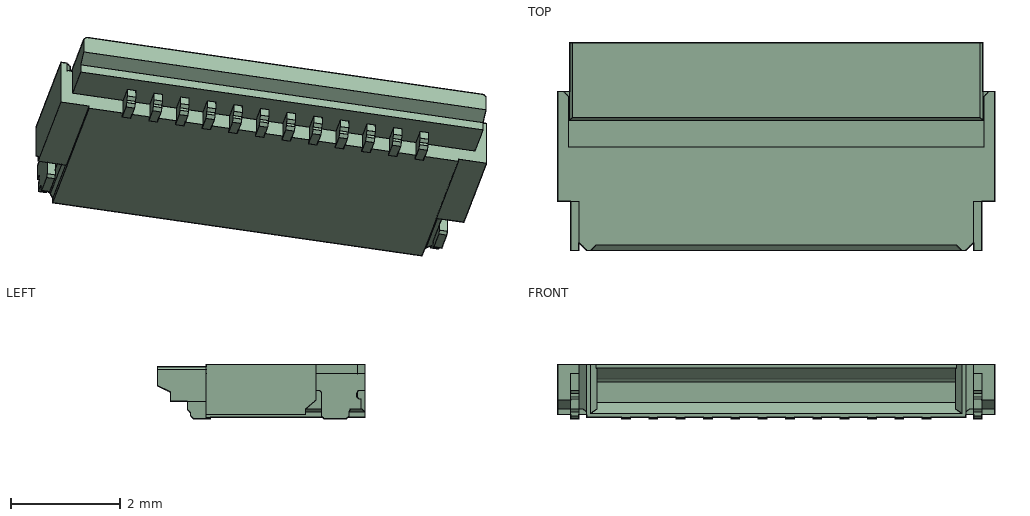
import cadquery as cq


body_width = 8.0
body_front = 0.9
body_rear = 2.91
body_bottom = 0.08
top = 1.0
bevel_run = 0.19
bevel_low = 0.18
bevel_high = 0.345

shell_width = 7.22
keel_width = 6.94
shell_corner = (shell_width - keel_width) / 2
shell_bottom = 0.03
keel_side_top = 0.13
shell_side_bottom = 0.18
side_ledge = 0.08

recess_width = 7.6
recess_front = 1.89
recess_floor = 0.83
arm_chamfer = 0.09

slot_width = 6.55
slot_corner = 0.12
slot_rim_bottom = 0.10
slot_floor = 0.30
slot_depth = recess_front
floor_ramp_length = 0.28
lip_setback = 0.10
lip_bottom = 0.93
slot_roof_front = 0.73
slot_roof_rear = 0.68
roof_ramp_end = 0.28
roof_bevel_run = 0.03

flap_width = 7.56
flap_front = 2.38
flap_rear = 3.8
flap_top = 0.955
flap_chamfer = 0.05
flap_heel = 3.56
flap_heel_high = 0.49
flap_rear_low = 0.607
flap_bottom = 0.323

lead_count = 12
lead_pitch = 0.5
lead_width = 0.16
lead_rear = 3.25
lead_front = 2.83
lead_step = 0.055
lead_knee = 0.17
lead_toe = 0.06

tab_thickness = 0.15
tab_top = 0.83
tab_shoulder = 0.52
tab_leg_rear = 0.80
tab_corner = 0.03
tab_foot_chamfer = 0.05
tab_neck = 0.154
tab_neck_low = 0.405
tab_neck_bevel_run = 0.03
tab_neck_bevel_rise = 0.05
tab_prong_top = 0.365
tab_prong_front = 0.08
tab_prong_rear = 0.11
tab_foot_front = 0.295
tab_foot_top = 0.18


def side_profile(points, width, x_centre=0):
    """Extrude a (Y, Z) outline along X, centred on x_centre."""
    return (
        cq.Workplane("YZ")
        .polyline(points)
        .close()
        .extrude(width / 2, both=True)
        .translate((x_centre, 0, 0))
    )


def plan_profile(points, z_low, z_high):
    """Extrude an (X, Y) outline from z_low to z_high."""
    return cq.Workplane("XY").workplane(offset=z_low).polyline(points).close().extrude(z_high - z_low)


def make_body():
    """Wide block between the side faces, bevelled below its front edge."""
    bevel_end = body_front + bevel_run
    outline = [
        (body_front, top),
        (body_rear, top),
        (body_rear, body_bottom),
        (bevel_end, body_bottom),
        (bevel_end, bevel_low),
        (body_front, bevel_high),
    ]
    return side_profile(outline, body_width)


def make_shell():
    """Front shell: stepped cross-section with its two front corners cut off."""
    half_side = shell_width / 2
    half_keel = keel_width / 2
    half_ledge = half_side - side_ledge
    right_half = [
        (half_keel, shell_bottom),
        (half_keel, keel_side_top),
        (half_ledge, shell_side_bottom),
        (half_side, shell_side_bottom),
        (half_side, top),
    ]
    left_half = [(-x, z) for x, z in reversed(right_half)]
    section = cq.Workplane("XZ").polyline(right_half + left_half).close().extrude(-body_rear)
    plan = [
        (-half_keel, 0),
        (half_keel, 0),
        (half_side, shell_corner),
        (half_side, body_rear),
        (-half_side, body_rear),
        (-half_side, shell_corner),
    ]
    return section.intersect(plan_profile(plan, 0, top))


def make_slot():
    """Cable opening: (Y, Z) outline limited by the plan with its side lead-ins."""
    half_slot = slot_width / 2
    half_mouth = half_slot + slot_corner
    outline = [
        (0, slot_rim_bottom),
        (floor_ramp_length, slot_floor),
        (slot_depth, slot_floor),
        (slot_depth, slot_roof_rear),
        (roof_ramp_end + roof_bevel_run, slot_roof_rear),
        (roof_ramp_end, slot_roof_front),
        (lip_setback, lip_bottom),
        (lip_setback, top),
        (0, top),
    ]
    plan = [
        (-half_mouth, 0),
        (half_mouth, 0),
        (half_slot, slot_corner),
        (half_slot, slot_depth),
        (-half_slot, slot_depth),
        (-half_slot, slot_corner),
    ]
    return side_profile(outline, body_width).intersect(plan_profile(plan, 0, top))


def make_recess():
    """Shallow top pocket behind the slot, open to the rear between two arms."""
    half_recess = recess_width / 2
    half_mouth = half_recess + arm_chamfer
    chamfer_start = body_rear - arm_chamfer
    plan = [
        (-half_recess, recess_front),
        (half_recess, recess_front),
        (half_recess, chamfer_start),
        (half_mouth, body_rear),
        (-half_mouth, body_rear),
        (-half_recess, chamfer_start),
    ]
    return plan_profile(plan, recess_floor, top)


def make_flap():
    """Locking flap overhanging the rear, chamfered on three top edges."""
    outline = [
        (flap_front, flap_top),
        (flap_rear, flap_top),
        (flap_rear, flap_rear_low),
        (flap_heel, flap_heel_high),
        (flap_heel, flap_bottom),
        (flap_front, flap_bottom),
    ]
    flap = side_profile(outline, flap_width)
    return flap.faces(">Z").edges("|Y or <Y").chamfer(flap_chamfer)


def make_lead(x_centre):
    """Rear lead with a stepped back and its sole on the solder plane."""
    toe_rear = lead_rear - lead_step
    outline = [
        (lead_front, flap_bottom),
        (lead_rear, flap_bottom),
        (lead_rear, lead_knee),
        (toe_rear, lead_knee - lead_step),
        (toe_rear, lead_toe),
        (toe_rear - lead_step, 0),
        (lead_front, 0),
    ]
    return side_profile(outline, lead_width, x_centre)


def make_tab(side):
    """Hold-down tab against the shell; side is -1 or 1."""
    outline = [
        (body_front, tab_top),
        (0, tab_top),
        (0, tab_shoulder),
        (tab_neck - tab_neck_bevel_run, tab_shoulder),
        (tab_neck, tab_shoulder - tab_neck_bevel_rise),
        (tab_neck, tab_neck_low),
        (tab_prong_rear, tab_prong_top),
        (tab_prong_front, tab_prong_top),
        (tab_prong_front, tab_foot_top),
        (tab_foot_front - tab_corner, tab_foot_top),
        (tab_foot_front, tab_foot_top - tab_foot_chamfer),
        (tab_foot_front, tab_foot_chamfer),
        (tab_foot_front + tab_foot_chamfer, 0),
        (tab_leg_rear - tab_foot_chamfer, 0),
        (tab_leg_rear, tab_foot_chamfer),
        (tab_leg_rear, tab_shoulder - tab_corner),
        (tab_leg_rear + tab_corner, tab_shoulder),
        (body_front, tab_shoulder),
    ]
    x_centre = side * (shell_width + tab_thickness) / 2
    return side_profile(outline, tab_thickness, x_centre)


result = make_body().union(make_shell()).cut(make_slot()).cut(make_recess()).union(make_flap())

for index in range(lead_count):
    result = result.union(make_lead((index - (lead_count - 1) / 2) * lead_pitch))

for side in (-1, 1):
    result = result.union(make_tab(side))